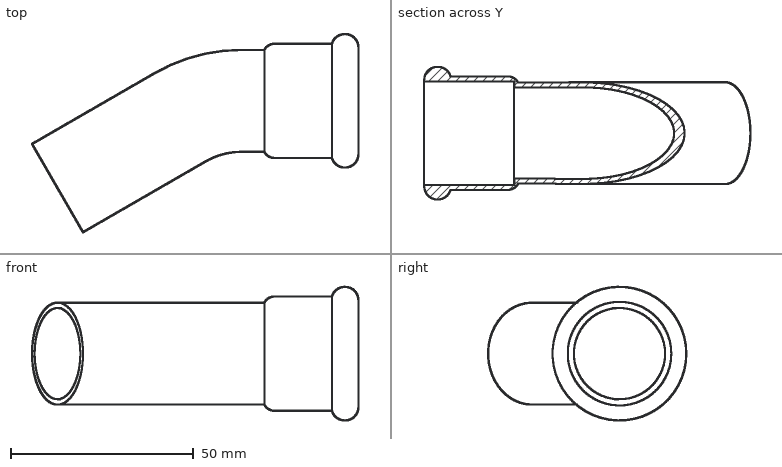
import cadquery as cq
import math

tube_diameter = 28.0
tube_bore = 25.0
bend_angle = 30.0
bend_radius = 33.4
spigot_length = 38.86

neck_length = 5.92
socket_length = 26.2
socket_diameter = 31.4
socket_bore = 28.4
shoulder_radius = 3.2
bead_diameter = 36.68
bead_width = 7.5

wall = (socket_diameter - socket_bore) / 2
stop_x = neck_length + wall
mouth_x = neck_length + socket_length
bead_round = bead_width / 2
bead_x = mouth_x - bead_round
bead_ring_radius = bead_diameter / 2 - bead_round


def point_on_bend(angle_degrees):
    """Point on the elbow centreline, turned back from the origin by the angle."""
    angle = math.radians(angle_degrees)
    return (-bend_radius * math.sin(angle), -bend_radius * (1 - math.cos(angle)))


def bar_along_x(diameter, start_x, end_x):
    """Solid round bar on the X axis."""
    section = cq.Workplane("YZ", origin=(start_x, 0, 0)).circle(diameter / 2)
    return section.extrude(end_x - start_x)


def bent_bar(diameter):
    """Solid round bar from the origin along the elbow and the spigot leg."""
    angle = math.radians(bend_angle)
    elbow_middle = point_on_bend(bend_angle / 2)
    elbow_end = point_on_bend(bend_angle)
    spigot_end = (
        elbow_end[0] - spigot_length * math.cos(angle),
        elbow_end[1] - spigot_length * math.sin(angle),
    )
    centreline = cq.Workplane("XY").moveTo(0, 0).threePointArc(elbow_middle, elbow_end).lineTo(*spigot_end)
    return cq.Workplane("YZ").circle(diameter / 2).sweep(centreline)


def bead():
    """Solid rolled bead, rounded outside, with a flat mouth face."""
    core = bar_along_x(2 * bead_ring_radius, bead_x, mouth_x)
    ring = cq.Workplane("XY").center(bead_x, bead_ring_radius).circle(bead_round)
    ring = ring.revolve(360, (0, -bead_ring_radius, 0), (1, -bead_ring_radius, 0))
    return core.union(ring)


def socket_body():
    """Solid neck, round-shouldered socket and bead."""
    neck = bar_along_x(tube_diameter, 0, neck_length + shoulder_radius)
    socket = bar_along_x(socket_diameter, neck_length, bead_x)
    socket = socket.faces("<X").edges().fillet(shoulder_radius)
    return neck.union(socket).union(bead())


def bore():
    """Tube bore through the whole part, widened in the socket up to the tube stop."""
    through_bore = bent_bar(tube_bore).union(bar_along_x(tube_bore, 0, mouth_x))
    return through_bore.union(bar_along_x(socket_bore, stop_x, mouth_x))


result = bent_bar(tube_diameter).union(socket_body()).cut(bore())